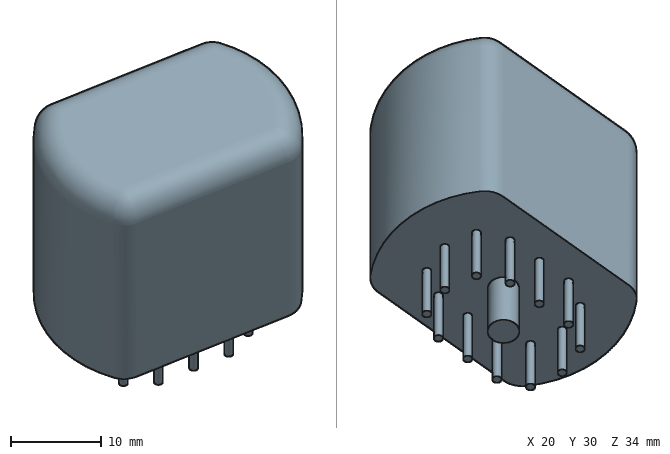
import cadquery as cq

width = 20.0
length = 30.0
total_height = 34.0
pin_length = 7.0
can_height = total_height - pin_length

end_radius = 14.5
edge_radius = 3.0

pin_diameter = 1.02
post_diameter = 3.5
side_pin_x = 5.75
side_pin_pitch = 4.5
corner_pin_x = 3.98
corner_pin_y = 7.95
end_pin_y = 9.0


def make_can():
    """Flat-sided can with bulging ends and a rounded top."""
    half_width = width / 2
    half_length = length / 2
    end_center_y = half_length - end_radius
    shoulder_y = end_center_y + (end_radius**2 - half_width**2) ** 0.5
    can = (
        cq.Workplane("XY")
        .moveTo(-half_width, -shoulder_y)
        .threePointArc((0, -half_length), (half_width, -shoulder_y))
        .lineTo(half_width, shoulder_y)
        .threePointArc((0, half_length), (-half_width, shoulder_y))
        .close()
        .extrude(can_height)
    )
    return can.edges("|Z or >Z").fillet(edge_radius)


def pin_positions():
    """Three pins along each side, one near each corner and one at each end."""
    points = []
    for side in (-1, 1):
        points += [(side * side_pin_x, row * side_pin_pitch) for row in (-1, 0, 1)]
        points += [(side * corner_pin_x, end * corner_pin_y) for end in (-1, 1)]
        points.append((0, side * end_pin_y))
    return points


def make_downward_rods(points, diameter):
    """Round rods hanging from the underside of the can."""
    return cq.Workplane("XY").pushPoints(points).circle(diameter / 2).extrude(-pin_length)


pins = make_downward_rods(pin_positions(), pin_diameter)
post = make_downward_rods([(0, 0)], post_diameter)
result = make_can().union(pins).union(post)